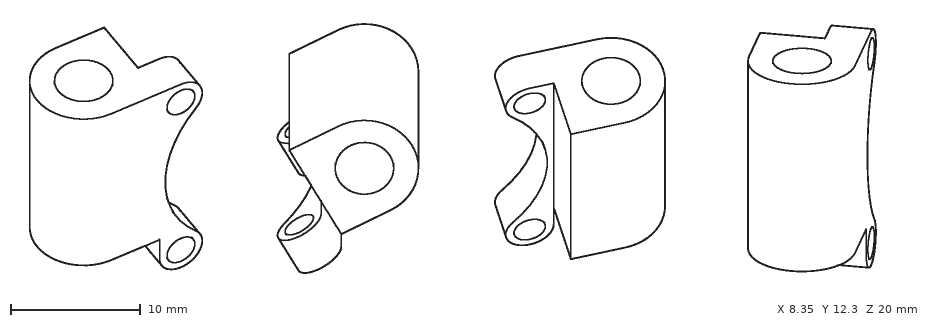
import cadquery as cq
import math

total_height = 20.0
barrel_height = 16.0
barrel_width = 8.35
barrel_radius = barrel_width / 2
barrel_back = 4.32
bore_diameter = 4.5

plate_thickness = 3.25
eye_radius = 1.92
eye_hole_diameter = 2.5
scoop_radius = 9.5
scoop_web = 0.52

barrel_bottom = total_height - barrel_height
eye_y = barrel_back + eye_radius
eye_heights = (eye_radius, total_height - eye_radius)
plate_right = barrel_radius


def make_barrel():
    profile = (
        cq.Workplane("XY", origin=(0, 0, barrel_bottom))
        .moveTo(-barrel_radius, barrel_back)
        .lineTo(-barrel_radius, 0)
        .threePointArc((0, -barrel_radius), (barrel_radius, 0))
        .lineTo(barrel_radius, barrel_back)
        .close()
    )
    return profile.extrude(barrel_height)


def plate_cylinder(y, z, radius):
    """Cylinder along X across the full plate thickness."""
    plane = cq.Workplane("YZ", origin=(plate_right - plate_thickness, y, z))
    return plane.circle(radius).extrude(plate_thickness)


def make_plate():
    mid_height = total_height / 2
    scoop_y = barrel_back + scoop_web + scoop_radius

    rise = eye_heights[1] - mid_height
    centre_distance = math.hypot(scoop_y - eye_y, rise)
    touch_y = eye_y + (scoop_y - eye_y) * eye_radius / centre_distance
    touch_rise = rise - rise * eye_radius / centre_distance

    web = (
        cq.Workplane("YZ", origin=(plate_right - plate_thickness, 0, 0))
        .moveTo(barrel_back, eye_heights[0])
        .lineTo(eye_y, eye_heights[0])
        .lineTo(touch_y, mid_height - touch_rise)
        .threePointArc(
            (barrel_back + scoop_web, mid_height),
            (touch_y, mid_height + touch_rise),
        )
        .lineTo(eye_y, eye_heights[1])
        .lineTo(eye_y, total_height)
        .lineTo(barrel_back, total_height)
        .close()
        .extrude(plate_thickness)
    )
    for z in eye_heights:
        web = web.union(plate_cylinder(eye_y, z, eye_radius))
    return web


result = make_barrel().union(make_plate())
for eye_z in eye_heights:
    result = result.cut(plate_cylinder(eye_y, eye_z, eye_hole_diameter / 2))
bore = (
    cq.Workplane("XY", origin=(0, 0, barrel_bottom))
    .circle(bore_diameter / 2)
    .extrude(barrel_height)
)
result = result.cut(bore)